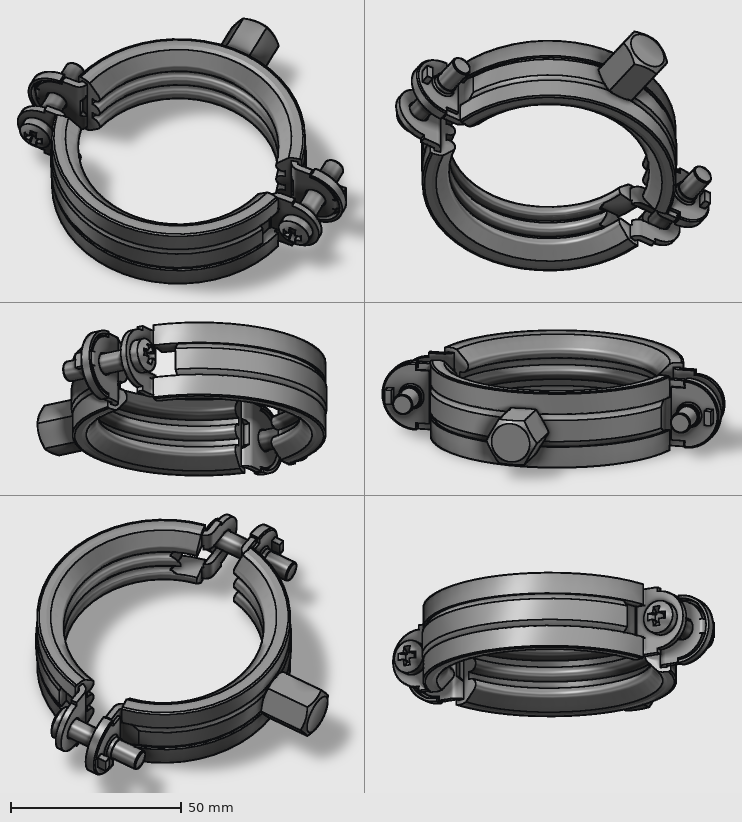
import cadquery as cq
import math


END_ANGLE = 12.5
RUBBER_HALF_WIDTH = 11.42
RUBBER_OUTER_R = 37.2
RUBBER_CHAMFER_R = 0.6
RUBBER_CHAMFER_Z = 0.3
LINER_LIP_R = 34.5
LINER_CONE_R = 33.2
RIDGE_R = 2.1
RIDGE_PITCH = 6.4
RIDGE_CENTRE_R = 31.5
GROOVE_FLOOR_R = 32.2
FOLD_INNER_Z = 4.97
STRAP_BASE_R = 36.45
BEAD_OUTER_R = 37.5
BEAD_HALF_FLAT = 3.2
STRAP_THICKNESS = 1.9

EAR_FACE_Y = 5.05
EAR_BACK_Y = EAR_FACE_Y + STRAP_THICKNESS
EAR_HALF_WIDTH = 10.0
EAR_ARC_X = 40.4
EAR_ARC_R = 8.7
BEND_START_X = 36.2
BEND_OUTER_R = 3.0
BEND_INNER_R = BEND_OUTER_R - STRAP_THICKNESS
STRAP_WALL_INNER_X = BEND_START_X - BEND_OUTER_R
STRAP_WALL_OUTER_X = BEND_START_X - BEND_INNER_R
STRAP_WALL_TOP_Y = 9.0
EAR_HOLE_D = 6.65
EAR_SLOT_W = 6.8

BEAD_END_Y = 13.4
BEND_RECESS_DEPTH = 1.5
BEND_RECESS_TAPER = 1.5
WINDOW_END_Y = 14.6
LINER_OUTER_R = 34.0

CUP_ARC_X = 40.9
CUP_R = 10.25
CUP_CHAMFER = 0.4
CUP_WALL = 0.9
CUP_TOP_Y = EAR_BACK_Y + CUP_WALL
CUP_RIM_Y = 4.65
CUP_INNER_END_X = 36.8
CUP_INNER_HALF_WIDTH = 8.0
COLLAR_D = 6.6
COLLAR_BASE_D = 7.6
COLLAR_BASE_H = 0.6
COLLAR_TOP_Y = 9.8
TAB_INNER_X = 47.6
TAB_OUTER_X = TAB_INNER_X + STRAP_THICKNESS
TAB_HALF_WIDTH = 2.15
TAB_TOP_Y = 10.7
TAB_BEND_R = 1.7
TAB_ROOT_X = 47.8

SCREW_X = 42.2
SCREW_D = 6.0
SCREW_TIP_D = 5.5
SCREW_TIP_Y = 18.1
SCREW_TIP_CHAMFER = 0.35
HEAD_R = 4.9
HEAD_RIM_Y = -9.6
HEAD_TOP_Y = -11.2
CROSS_SPAN = 6.8
CROSS_ARM_W = 2.0
CROSS_FLOOR = 2.9
CROSS_DEPTH = 2.4

NUT_ACROSS_FLATS = 13.35
NUT_CORNER_R = NUT_ACROSS_FLATS / math.sqrt(3)
NUT_TOP_Y = 53.1
NUT_BASE_Y = 37.35
NUT_TOP_R = 5.8
NUT_BASE_R = 5.25
NUT_CHAMFER_H = 1.1
NUT_STEM_R = 3.0
NUT_STEM_BOTTOM_Y = 36.0


def box(x0, x1, y0, y1, half_z):
    """Block between two X and two Y limits, symmetric about the XY plane."""
    centre = ((x0 + x1) / 2, (y0 + y1) / 2, 0)
    return cq.Workplane("XY").box(x1 - x0, y1 - y0, 2 * half_z).translate(centre)


def cylinder(x, diameter, y0, y1):
    """Cylinder along Y at the given X."""
    return cq.Workplane("XZ", origin=(x, y0, 0)).circle(diameter / 2).extrude(y0 - y1)


def half_disc(x, radius, y0, y1):
    """The +X half of a disc along Y whose centre lies at the given X."""
    keep = box(x, x + radius, y0, y1, radius)
    return cylinder(x, 2 * radius, y0, y1).intersect(keep)


def mirror_x(body):
    """Copy of a body on the other side of the YZ plane."""
    return body.mirror("YZ")


def ring_section():
    """Closed cross-section of liner, strap and bead, in the radius-Z plane."""
    ridge_crest_r = RIDGE_CENTRE_R - RIDGE_R
    tangent = RIDGE_R * math.sqrt(0.5)
    cone_r = RIDGE_CENTRE_R - tangent
    cone_z = RIDGE_PITCH + tangent
    cone_edge_z = cone_z + LINER_CONE_R - cone_r
    chamfer_r = RUBBER_OUTER_R - RUBBER_CHAMFER_R
    chamfer_z = RUBBER_HALF_WIDTH - RUBBER_CHAMFER_Z
    outside = [
        (STRAP_BASE_R, FOLD_INNER_Z),
        (RUBBER_OUTER_R, FOLD_INNER_Z),
        (RUBBER_OUTER_R, chamfer_z),
        (chamfer_r, RUBBER_HALF_WIDTH),
        (LINER_LIP_R, RUBBER_HALF_WIDTH),
        (LINER_CONE_R, cone_edge_z),
        (cone_r, cone_z),
    ]
    section = cq.Workplane("XZ").moveTo(BEAD_OUTER_R, -BEAD_HALF_FLAT).lineTo(BEAD_OUTER_R, BEAD_HALF_FLAT)
    for r, z in outside:
        section = section.lineTo(r, z)
    section = section.threePointArc(
        (ridge_crest_r, RIDGE_PITCH),
        (RIDGE_CENTRE_R, RIDGE_PITCH - RIDGE_R),
    )
    section = section.lineTo(GROOVE_FLOOR_R, RIDGE_PITCH - RIDGE_R)
    section = section.lineTo(GROOVE_FLOOR_R, RIDGE_R)
    section = section.lineTo(RIDGE_CENTRE_R, RIDGE_R)
    section = section.threePointArc((ridge_crest_r, 0), (RIDGE_CENTRE_R, -RIDGE_R))
    section = section.lineTo(GROOVE_FLOOR_R, -RIDGE_R)
    section = section.lineTo(GROOVE_FLOOR_R, RIDGE_R - RIDGE_PITCH)
    section = section.lineTo(RIDGE_CENTRE_R, RIDGE_R - RIDGE_PITCH)
    section = section.threePointArc((ridge_crest_r, -RIDGE_PITCH), (cone_r, -cone_z))
    for r, z in reversed(outside[:-1]):
        section = section.lineTo(r, -z)
    return section.close()


def half_ring():
    """Ring half on the +Y side."""
    ring = ring_section().revolve(180 - 2 * END_ANGLE, (0, 0, 0), (0, 1, 0))
    return ring.rotate((0, 0, 0), (0, 0, 1), END_ANGLE)


def bent_strip():
    """Straight part of the ear on +X, +Y, joined to the ring by a right-angle bend."""
    slant = math.sqrt(0.5)
    bend_y = EAR_FACE_Y + BEND_OUTER_R
    return (
        cq.Workplane("XY")
        .moveTo(EAR_ARC_X, EAR_FACE_Y)
        .lineTo(BEND_START_X, EAR_FACE_Y)
        .threePointArc(
            (BEND_START_X - BEND_OUTER_R * slant, bend_y - BEND_OUTER_R * slant),
            (STRAP_WALL_INNER_X, bend_y),
        )
        .lineTo(STRAP_WALL_INNER_X, STRAP_WALL_TOP_Y)
        .lineTo(STRAP_WALL_OUTER_X, STRAP_WALL_TOP_Y)
        .lineTo(STRAP_WALL_OUTER_X, bend_y)
        .threePointArc(
            (BEND_START_X - BEND_INNER_R * slant, bend_y - BEND_INNER_R * slant),
            (BEND_START_X, EAR_BACK_Y),
        )
        .lineTo(EAR_ARC_X, EAR_BACK_Y)
        .close()
        .extrude(EAR_HALF_WIDTH, both=True)
    )


def rounded_ear():
    """Bored ear with a semicircular end, stepped in from the full strap width."""
    end = half_disc(EAR_ARC_X, EAR_ARC_R, EAR_FACE_Y, EAR_BACK_Y)
    hole = cylinder(SCREW_X, EAR_HOLE_D, EAR_FACE_Y, EAR_BACK_Y)
    return bent_strip().union(end).cut(hole)


def keeper():
    """Cup that grips the nut-half ear: back plate, half rim, collar and strap tab."""
    cup = half_disc(CUP_ARC_X, CUP_R, CUP_RIM_Y, CUP_TOP_Y)
    cup = cup.faces(">Y").edges("%CIRCLE").chamfer(CUP_CHAMFER)
    cup = cup.cut(half_disc(CUP_ARC_X, CUP_R - CUP_WALL, CUP_RIM_Y, EAR_BACK_Y))
    plate = box(CUP_INNER_END_X, CUP_ARC_X, EAR_BACK_Y, CUP_TOP_Y, CUP_INNER_HALF_WIDTH)
    collar = (
        cq.Workplane("XY")
        .polyline([
            (0, EAR_BACK_Y),
            (COLLAR_BASE_D / 2, EAR_BACK_Y),
            (COLLAR_BASE_D / 2, CUP_TOP_Y),
            (COLLAR_D / 2, CUP_TOP_Y + COLLAR_BASE_H),
            (COLLAR_D / 2, COLLAR_TOP_Y),
            (0, COLLAR_TOP_Y),
        ])
        .close()
        .revolve(360, (0, 0, 0), (0, 1, 0))
        .translate((SCREW_X, 0, 0))
    )
    tab = box(TAB_INNER_X, TAB_OUTER_X, EAR_FACE_Y, TAB_TOP_Y, TAB_HALF_WIDTH)
    tab = tab.edges(">X and <Y").fillet(TAB_BEND_R)
    return cup.union(plate).union(collar).union(tab)


def bend_recess():
    """Tapered channel on the inside of the bend, where the hollow of the bead runs out."""
    floor_x = STRAP_WALL_INNER_X + BEND_RECESS_DEPTH
    ring_end_y = STRAP_WALL_INNER_X * math.tan(math.radians(END_ANGLE))
    mouth_half = BEAD_HALF_FLAT + BEND_RECESS_TAPER
    return (
        cq.Workplane("XZ", origin=(0, EAR_FACE_Y, 0))
        .polyline([
            (STRAP_WALL_INNER_X, -mouth_half),
            (floor_x, -BEAD_HALF_FLAT),
            (floor_x, BEAD_HALF_FLAT),
            (STRAP_WALL_INNER_X, mouth_half),
        ])
        .close()
        .extrude(EAR_FACE_Y - ring_end_y)
    )


def nut_half():
    """Half clamp with keeper cups; the bead is flattened next to each ear."""
    half = half_ring()
    flat = box(STRAP_WALL_OUTER_X, BEAD_OUTER_R, EAR_BACK_Y, BEAD_END_Y, FOLD_INNER_Z)
    notch = box(TAB_ROOT_X, EAR_ARC_X + EAR_ARC_R, EAR_FACE_Y, EAR_BACK_Y, TAB_HALF_WIDTH)
    side = rounded_ear().cut(notch).cut(bend_recess()).union(keeper())
    half = half.cut(flat).cut(mirror_x(flat))
    return half.union(side).union(mirror_x(side))


def head_half():
    """Half clamp under the screw heads; built on +Y, then mirrored to -Y."""
    window = box(RIDGE_CENTRE_R - 2 * RIDGE_R, BEAD_OUTER_R, EAR_FACE_Y, WINDOW_END_Y, FOLD_INNER_Z)
    liner = cq.Workplane("XY").circle(LINER_OUTER_R).extrude(RUBBER_HALF_WIDTH, both=True)
    ring = half_ring().cut(window.cut(liner)).cut(mirror_x(window))
    bend_gap = box(STRAP_WALL_INNER_X, BEND_START_X, EAR_BACK_Y, STRAP_WALL_TOP_Y, FOLD_INNER_Z)
    side = rounded_ear().cut(bend_gap)
    slot = box(STRAP_WALL_INNER_X, SCREW_X, EAR_FACE_Y, EAR_BACK_Y, EAR_SLOT_W / 2)
    half = ring.union(side).union(mirror_x(side.cut(slot)))
    return half.mirror("XZ")


def screw():
    """Pan-head screw with a cross recess, on the +X side."""
    shank = cylinder(SCREW_X, SCREW_D, -EAR_BACK_Y, SCREW_TIP_Y)
    shank = shank.faces(">Y").chamfer(SCREW_TIP_CHAMFER, (SCREW_D - SCREW_TIP_D) / 2)
    dome_sag = HEAD_RIM_Y - HEAD_TOP_Y
    dome_r = (HEAD_R**2 + dome_sag**2) / (2 * dome_sag)
    dome_mid_r = HEAD_R / 2
    dome_mid_y = HEAD_TOP_Y + dome_r - math.sqrt(dome_r**2 - dome_mid_r**2)
    head = (
        cq.Workplane("XY")
        .moveTo(0, -EAR_BACK_Y)
        .lineTo(HEAD_R, -EAR_BACK_Y)
        .lineTo(HEAD_R, HEAD_RIM_Y)
        .threePointArc((dome_mid_r, dome_mid_y), (0, HEAD_TOP_Y))
        .close()
        .revolve(360, (0, 0, 0), (0, 1, 0))
        .translate((SCREW_X, 0, 0))
    )
    cross_half = CROSS_SPAN / 2
    floor_half = CROSS_FLOOR / 2
    floor_y = HEAD_TOP_Y + CROSS_DEPTH
    arm = (
        cq.Workplane("XY")
        .polyline([
            (-cross_half, HEAD_TOP_Y),
            (cross_half, HEAD_TOP_Y),
            (floor_half, floor_y),
            (-floor_half, floor_y),
        ])
        .close()
        .extrude(CROSS_ARM_W / 2, both=True)
    )
    cross = arm.union(arm.rotate((0, 0, 0), (0, 1, 0), 90)).translate((SCREW_X, 0, 0))
    cross = cross.union(cylinder(SCREW_X, CROSS_FLOOR, HEAD_TOP_Y, floor_y))
    return shank.union(head).cut(cross)


def nut():
    """Hexagonal nut along Y with conical chamfers and a stem set into the bead."""
    length = NUT_TOP_Y - NUT_BASE_Y
    hexagon = cq.Workplane("XZ", origin=(0, NUT_BASE_Y, 0)).polygon(6, 2 * NUT_CORNER_R).extrude(-length)
    envelope = (
        cq.Workplane("XY")
        .polyline([
            (0, NUT_BASE_Y),
            (NUT_BASE_R, NUT_BASE_Y),
            (NUT_CORNER_R, NUT_BASE_Y + NUT_CHAMFER_H),
            (NUT_CORNER_R, NUT_TOP_Y - NUT_CHAMFER_H),
            (NUT_TOP_R, NUT_TOP_Y),
            (0, NUT_TOP_Y),
        ])
        .close()
        .revolve(360, (0, 0, 0), (0, 1, 0))
    )
    stem = cylinder(0, 2 * NUT_STEM_R, NUT_STEM_BOTTOM_Y, NUT_BASE_Y)
    return hexagon.intersect(envelope).union(stem)


result = nut_half().union(head_half()).union(screw()).union(mirror_x(screw())).union(nut())